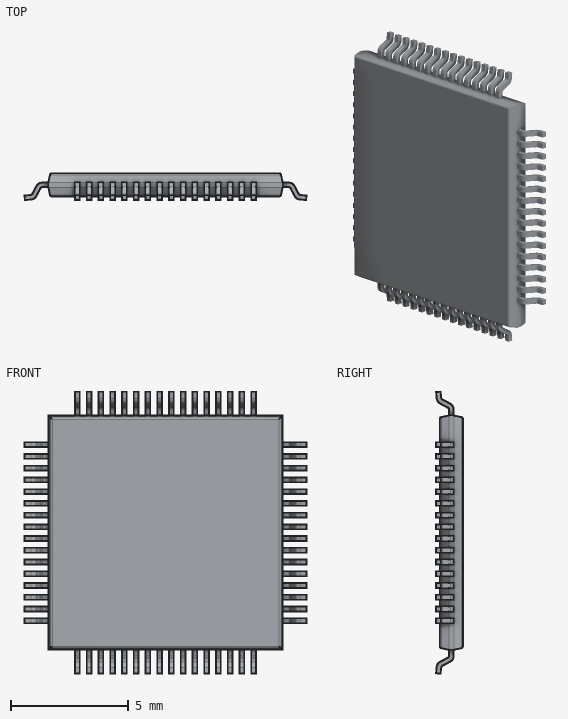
import cadquery as cq
import math

span = 12.03
total_depth = 1.15

body_width = 10.0
body_depth = 1.0
draft_angle = 12.0
edge_radius = 0.1

leads_per_side = 16
lead_row_length = 7.51
lead_width = 0.22
lead_thickness = 0.2
bend_radius = 0.09
leg_angle = math.radians(62)
foot_angle = math.radians(5)
foot_length = 0.26
lead_embed = 0.24

lead_pitch = lead_row_length / (leads_per_side - 1)
half_belt = lead_thickness / 2
half_span = span / 2
foot_level = body_depth / 2 - total_depth
drafted_depth = body_depth / 2 - half_belt
outer_radius = bend_radius + lead_thickness


def make_body():
    """Square belt with drafted walls and a rounded rim on both sides."""
    half = (
        cq.Workplane("XZ")
        .rect(body_width, body_width)
        .extrude(half_belt)
        .faces("<Y").wires().toPending()
        .extrude(drafted_depth, taper=draft_angle)
        .faces("<Y").edges()
        .fillet(edge_radius)
    )
    return half.union(half.mirror("XZ"))


def below_radial(center, radius, angle):
    """Point under a centre, swung toward -X from straight down by the angle."""
    return (center[0] - radius * math.sin(angle), center[1] - radius * math.cos(angle))


def above_radial(center, radius, angle):
    """Point over a centre, swung toward +X from straight up by the angle."""
    return (center[0] + radius * math.sin(angle), center[1] + radius * math.cos(angle))


def make_lead():
    """One lead leaving the body along +X, at the middle of its side."""
    ankle = (
        half_span + bend_radius * math.sin(foot_angle) - foot_length * math.cos(foot_angle),
        foot_level + outer_radius * math.cos(foot_angle) + foot_length * math.sin(foot_angle),
    )
    knee_level = half_belt - outer_radius
    radii_sum = bend_radius + outer_radius
    leg_drop = knee_level + radii_sum * math.cos(leg_angle) - ankle[1]
    leg_run = leg_drop / math.tan(leg_angle)
    knee = (ankle[0] - radii_sum * math.sin(leg_angle) - leg_run, knee_level)

    foot_run = foot_length * math.cos(foot_angle)
    foot_drop = foot_length * math.sin(foot_angle)
    heel_top = below_radial(ankle, bend_radius, foot_angle)
    heel_bottom = below_radial(ankle, outer_radius, foot_angle)
    mid_ankle = (leg_angle + foot_angle) / 2
    mid_knee = leg_angle / 2
    root = body_width / 2 - lead_embed

    return (
        cq.Workplane("XY")
        .moveTo(root, half_belt)
        .lineTo(knee[0], half_belt)
        .threePointArc(
            above_radial(knee, outer_radius, mid_knee),
            above_radial(knee, outer_radius, leg_angle),
        )
        .lineTo(*below_radial(ankle, bend_radius, leg_angle))
        .threePointArc(below_radial(ankle, bend_radius, mid_ankle), heel_top)
        .lineTo(heel_top[0] + foot_run, heel_top[1] - foot_drop)
        .lineTo(heel_bottom[0] + foot_run, heel_bottom[1] - foot_drop)
        .lineTo(*heel_bottom)
        .threePointArc(
            below_radial(ankle, outer_radius, mid_ankle),
            below_radial(ankle, outer_radius, leg_angle),
        )
        .lineTo(*above_radial(knee, bend_radius, leg_angle))
        .threePointArc(
            above_radial(knee, bend_radius, mid_knee),
            (knee[0], -half_belt),
        )
        .lineTo(root, -half_belt)
        .close()
        .extrude(lead_width / 2, both=True)
    )


def make_all_leads():
    """A centred row of leads on each of the four sides."""
    lead = make_lead().val()
    center = cq.Vector(0, 0, 0)
    body_axis = cq.Vector(0, 1, 0)
    quarter_turn = 90
    row_start = -lead_row_length / 2
    leads = []
    for side in range(4):
        for index in range(leads_per_side):
            placed = lead.translate(cq.Vector(0, 0, row_start + index * lead_pitch))
            leads.append(placed.rotate(center, body_axis, side * quarter_turn))
    return leads


body = make_body().val()
result = cq.Workplane("XY").newObject([body.fuse(*make_all_leads())]).solids()